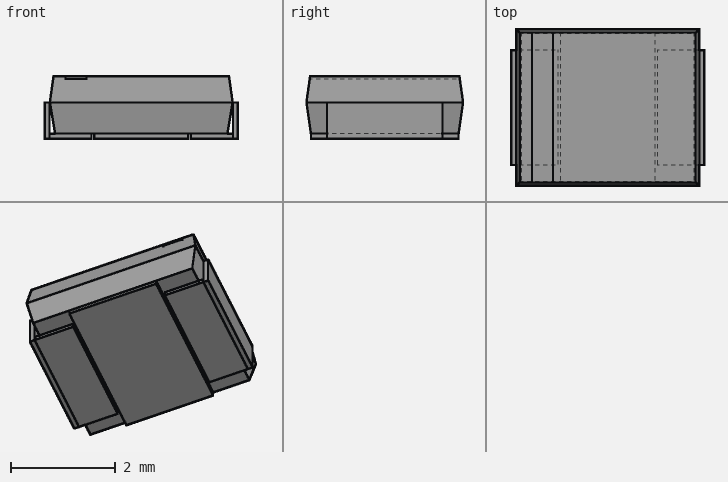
import cadquery as cq

body_length = 3.5
body_width = 3.0
total_height = 1.2
parting_height = 0.7
top_inset = 0.07
underside_end_inset = 0.1
underside_side_inset = underside_end_inset * body_width / body_length

metal_thickness = 0.1
terminal_width = 2.2
foot_length = 0.8
foot_to_pad_gap = 0.05

band_width = 0.4
band_depth = 0.05
band_offset = 0.3

body_end = body_length / 2
foot_inner_end = body_end - foot_length
pad_length = 2 * (foot_inner_end - foot_to_pad_gap)
pad_width = body_width - 2 * underside_side_inset


def drafted_half(z_face, end_inset, side_inset):
    """Half of the body, tapering from the parting plane to a smaller flat face at z_face."""
    return (
        cq.Workplane("XY")
        .workplane(offset=parting_height)
        .rect(body_length, body_width)
        .workplane(offset=z_face - parting_height)
        .rect(body_length - 2 * end_inset, body_width - 2 * side_inset)
        .loft(ruled=True)
    )


def plate(x_start, x_end, width, z_bottom, z_top):
    """Rectangular plate centred on Y."""
    return (
        cq.Workplane("XY")
        .workplane(offset=z_bottom)
        .center((x_start + x_end) / 2, 0)
        .rect(x_end - x_start, width)
        .extrude(z_top - z_bottom)
    )


def terminal_upright(side):
    """Vertical plate standing outside the body end; side is -1 or 1."""
    x_ends = sorted([side * body_end, side * (body_end + metal_thickness)])
    return plate(*x_ends, terminal_width, 0, parting_height)


def terminal_foot(side):
    """Horizontal plate running under the body from the upright; side is -1 or 1."""
    x_ends = sorted([side * foot_inner_end, side * body_end])
    return plate(*x_ends, terminal_width, 0, metal_thickness)


band_start = band_offset - body_end
band_slot = plate(
    band_start, band_start + band_width, body_width, total_height - band_depth, total_height
)
upper_blank = drafted_half(total_height, top_inset, top_inset)
polarity_band = upper_blank.intersect(band_slot)

upper_body = upper_blank.cut(band_slot)
lower_body = drafted_half(metal_thickness, underside_end_inset, underside_side_inset)

center_pad = plate(-pad_length / 2, pad_length / 2, pad_width, 0, metal_thickness)

uprights = [terminal_upright(side) for side in (-1, 1)]
feet = [terminal_foot(side) for side in (-1, 1)]

bodies = [upper_body, lower_body, polarity_band, center_pad, *uprights, *feet]
result = cq.Compound.makeCompound([body.solids().val() for body in bodies])